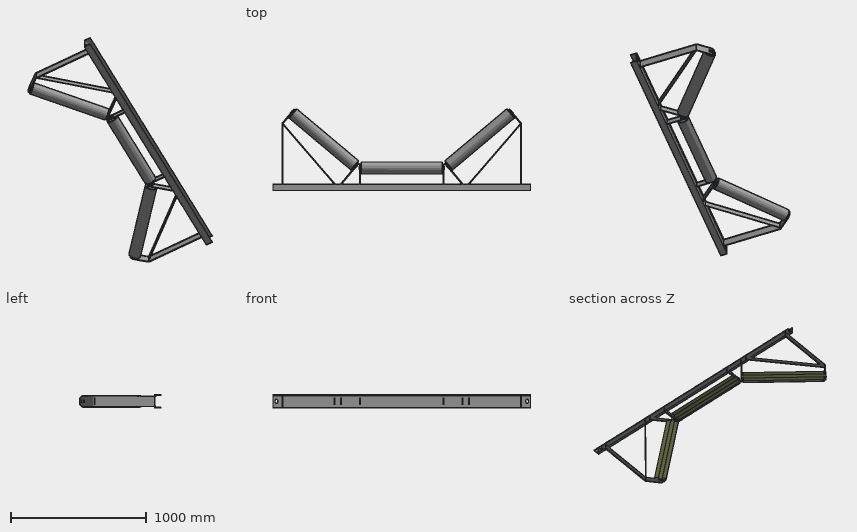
import cadquery as cq
import math


channel_length = 1900.0
channel_height = 100.0
flange_width = 50.0
web_thickness = 5.0
flange_tip = 6.6
flange_root = 10.0
root_fillet = 10.0
mount_slot_width = 17.0
mount_slot_height = 28.0
mount_slot_inset = 27.0

roller_length = 598.0
roller_diameter = 90.0
roller_chamfer = 4.0
shaft_diameter = 25.0
shaft_flats = 17.0
shaft_overhang = 2.0
roller_gap = 5.0
trough_angle = 40.0
center_roller_y = 118.0
side_roller_x = 574.0
side_roller_y = 329.0

strap_thickness = 7.2
outer_strap_width = 76.0
outer_head = 30.0
outer_head_corner = 19.0
outer_strap_x = 880.0
bend_radius = 10.0
inner_strap_width = 50.0
inner_head = 30.0
brace_thickness = 5.0
brace_width = 50.0
brace_foot_x = 498.0

seat_offset = roller_length / 2 + roller_gap
shaft_length = 2 * (seat_offset + strap_thickness + shaft_overhang)
tilt = math.radians(trough_angle)
center_roller = cq.Location(cq.Vector(0, center_roller_y, 0))
right_roller = cq.Location(
    cq.Vector(side_roller_x, side_roller_y, 0), cq.Vector(0, 0, 1), trough_angle
)
left_roller = cq.Location(
    cq.Vector(-side_roller_x, side_roller_y, 0), cq.Vector(0, 0, 1), -trough_angle
)


def make_channel():
    """Channel with tapered flanges pointing to -Y and a mounting slot near each end."""
    half = channel_height / 2
    inner_face = -web_thickness
    profile = [
        (0, -half),
        (0, half),
        (-flange_width, half),
        (-flange_width, half - flange_tip),
        (inner_face, half - flange_root),
        (inner_face, flange_root - half),
        (-flange_width, flange_tip - half),
        (-flange_width, -half),
    ]
    channel = (
        cq.Workplane("YZ", origin=(-channel_length / 2, 0, 0))
        .polyline(profile)
        .close()
        .extrude(channel_length)
    )
    for root_z in (half - flange_root, flange_root - half):
        root_edge = cq.NearestToPointSelector((0, inner_face, root_z))
        channel = channel.edges("|X").edges(root_edge).fillet(root_fillet)
    slot_x = channel_length / 2 - mount_slot_inset
    slots = (
        cq.Workplane("XZ")
        .pushPoints([(-slot_x, 0), (slot_x, 0)])
        .slot2D(mount_slot_height, mount_slot_width, 90)
        .extrude(web_thickness)
    )
    return channel.cut(slots)


def make_strap(outline, width):
    """Flat bar standing on edge: an XY outline given its width evenly about Z = 0."""
    base = cq.Workplane("XY", origin=(0, 0, -width / 2))
    return base.polyline(outline).close().extrude(width)


def head_plane(end):
    """Mid-plane of the strap at one end (-1 or 1) of a roller lying along X; local x is +Y."""
    seat_x = end * (seat_offset + strap_thickness / 2)
    return cq.Plane(origin=(seat_x, 0, 0), xDir=(0, 1, 0), normal=(1, 0, 0))


def make_shaft_slot(end, head):
    """Slot for the shaft flats, open at the strap's tip, which is `head` above the roller axis."""
    slot_bottom = -shaft_diameter / 2
    slot_length = head - slot_bottom
    slot = cq.Workplane(head_plane(end)).center(slot_bottom + slot_length / 2, 0)
    return slot.rect(slot_length, shaft_flats).extrude(strap_thickness, both=True).val()


def make_outer_corner(side):
    """Wedge that bevels one corner (-1 or 1) of the outer strap's tip."""
    half = outer_strap_width / 2
    wedge = [
        (outer_head, side * half),
        (outer_head - outer_head_corner, side * half),
        (outer_head, side * (half - outer_head_corner)),
    ]
    outline = cq.Workplane(head_plane(1)).polyline(wedge).close()
    return outline.extrude(strap_thickness, both=True).val()


def side_point(along, above):
    """XY point at a distance along the right roller's axis and a distance above that axis."""
    return (
        side_roller_x + along * math.cos(tilt) - above * math.sin(tilt),
        side_roller_y + along * math.sin(tilt) + above * math.cos(tilt),
    )


def height_at_x(along, x):
    """Distance above the right roller's axis at which the line square to it crosses X = x."""
    return (side_roller_x + along * math.cos(tilt) - x) / math.sin(tilt)


def height_at_y(along, y):
    """Distance above the right roller's axis at which the line square to it crosses Y = y."""
    return (y - side_roller_y - along * math.sin(tilt)) / math.cos(tilt)


def make_center_strap():
    """Upright strap at the +X end of the center roller."""
    top = center_roller_y + inner_head
    left = seat_offset
    right = seat_offset + strap_thickness
    strap = make_strap([(left, 0), (right, 0), (right, top), (left, top)], inner_strap_width)
    return strap.cut(make_shaft_slot(1, inner_head).moved(center_roller))


def make_inner_strap():
    """Sloping strap at the lower end of the right roller."""
    far = -seat_offset - strap_thickness
    near = -seat_offset
    outline = [
        side_point(far, inner_head),
        side_point(far, height_at_y(far, 0)),
        side_point(near, height_at_y(near, 0)),
        side_point(near, inner_head),
    ]
    strap = make_strap(outline, inner_strap_width)
    return strap.cut(make_shaft_slot(-1, inner_head).moved(right_roller))


def make_outer_strap():
    """Upright strap bent over to stand square to the upper end of the right roller."""
    far = seat_offset + strap_thickness
    near = seat_offset
    outer_x = outer_strap_x + strap_thickness / 2
    inner_x = outer_strap_x - strap_thickness / 2
    outer_bend = side_point(far, height_at_x(far, outer_x))
    inner_bend = side_point(near, height_at_x(near, inner_x))
    outline = [
        (inner_x, 0),
        (outer_x, 0),
        outer_bend,
        side_point(far, outer_head),
        side_point(near, outer_head),
        inner_bend,
    ]
    strap = make_strap(outline, outer_strap_width)
    strap = strap.edges(cq.NearestToPointSelector((*inner_bend, 0))).fillet(bend_radius)
    strap = strap.edges(cq.NearestToPointSelector((*outer_bend, 0))).fillet(
        bend_radius + strap_thickness
    )
    strap = strap.cut(make_shaft_slot(1, outer_head).moved(right_roller))
    for side in (-1, 1):
        strap = strap.cut(make_outer_corner(side).moved(right_roller))
    return strap


def make_brace():
    """Thin flat brace from the bend of the outer strap down to the channel."""
    near = seat_offset
    inner_x = outer_strap_x - strap_thickness / 2
    bend_y = side_point(near, height_at_x(near, inner_x))[1]
    rise = bend_y / (outer_strap_x - brace_foot_x)
    shift = brace_thickness * math.hypot(1, 1 / rise)
    outline = [
        (brace_foot_x, 0),
        (brace_foot_x - shift, 0),
        (outer_strap_x - shift, bend_y),
        (outer_strap_x, bend_y),
    ]
    return make_strap(outline, brace_width)


def make_frame():
    """Channel with the straps and braces of both sides welded on."""
    frame = make_channel()
    for part in (make_center_strap(), make_inner_strap(), make_outer_strap(), make_brace()):
        frame = frame.union(part).union(part.mirror("YZ"))
    return frame


def make_cylinder(diameter, length):
    """Cylinder along X, centered on the origin."""
    base = cq.Workplane("YZ", origin=(-length / 2, 0, 0))
    return base.circle(diameter / 2).extrude(length)


def make_roller(location):
    """Bored roller along X, with chamfered rims, moved to its place."""
    roller = make_cylinder(roller_diameter, roller_length).faces("<X or >X").chamfer(roller_chamfer)
    bore = make_cylinder(shaft_diameter, roller_length)
    return roller.cut(bore).solids().val().moved(location)


def make_shaft(location):
    """Round shaft along X whose ends have two flats that fit the strap slots."""
    round_part = make_cylinder(shaft_diameter, shaft_length)
    middle = cq.Workplane("XY").box(roller_length, shaft_diameter, shaft_diameter)
    flatted = cq.Workplane("XY").box(shaft_length, shaft_diameter, shaft_flats)
    return round_part.intersect(middle.union(flatted)).solids().val().moved(location)


frame = make_frame()
places = (left_roller, center_roller, right_roller)
rollers = [make_roller(place) for place in places]
shafts = [make_shaft(place) for place in places]

result = cq.Compound.makeCompound([frame.solids().val(), *rollers, *shafts])